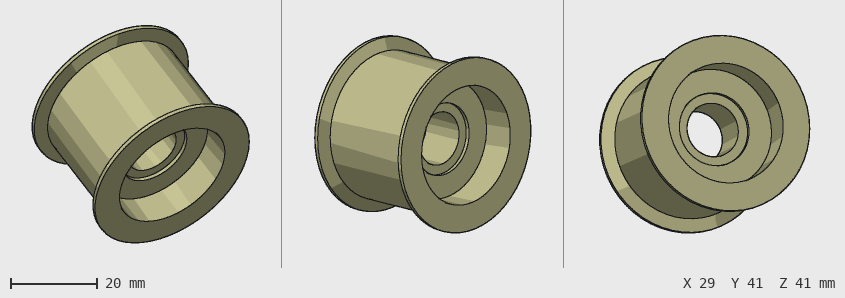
import cadquery as cq

width = 29.0
flange_diameter = 41.0
barrel_diameter = 35.0
rim_width = 1.0
taper_width = 1.02

pocket_diameter = 28.0
pocket_depth = 8.0
recess_diameter = 17.0
recess_depth = 1.0
bore_diameter = 12.5


def cylinder(diameter, start, length):
    """Cylinder along +X, beginning at the given X position."""
    return cq.Workplane("YZ", origin=(start, 0, 0)).circle(diameter / 2).extrude(length)


def roller_body():
    """Solid barrel with a tapered flange at each end."""
    half_width = width / 2
    rim_x = half_width - rim_width
    barrel_x = rim_x - taper_width
    flange_radius = flange_diameter / 2
    barrel_radius = barrel_diameter / 2
    profile = [
        (-half_width, 0),
        (-half_width, flange_radius),
        (-rim_x, flange_radius),
        (-barrel_x, barrel_radius),
        (barrel_x, barrel_radius),
        (rim_x, flange_radius),
        (half_width, flange_radius),
        (half_width, 0),
    ]
    return cq.Workplane("XY").polyline(profile).close().revolve(360, (0, 0, 0), (1, 0, 0))


def centred_cut(body, diameter, length):
    return body.cut(cylinder(diameter, -length / 2, length))


def end_cuts(body, diameter, depth):
    """Cut a round pocket of the given depth into both end faces."""
    body = body.cut(cylinder(diameter, -width / 2, depth))
    return body.cut(cylinder(diameter, width / 2 - depth, depth))


result = roller_body()
result = end_cuts(result, pocket_diameter, pocket_depth)
result = end_cuts(result, recess_diameter, pocket_depth + recess_depth)
result = centred_cut(result, bore_diameter, width)